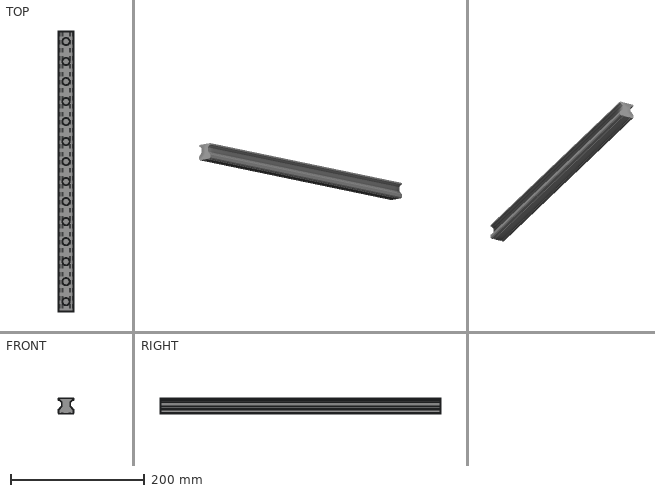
import cadquery as cq

length = 420.0
width = 23.0
height = 23.5
half_width = width / 2
top = height / 2
bottom = -height / 2

top_bevel = 0.65
head_side_bottom = 9.2
head_break_half_width = 9.2
head_break_height = 8.5

waist_half_width = 6.7
waist_top = 6.0
waist_bottom = -0.65

foot_step_half_width = 9.2
foot_step_rise = 0.5
foot_step_top = waist_bottom - (foot_step_half_width - waist_half_width)
foot_step_bottom = foot_step_top - foot_step_rise
foot_side_top = foot_step_bottom - (half_width - foot_step_half_width)
bottom_bevel = 1.45

groove_offset = 6.0
groove_width = 1.5
groove_depth = 1.0

recess_count = 14
recess_pitch = length / recess_count
recess_diameter = 11.0
recess_depth = 0.5


def rail_body():
    """Extrude the symmetric cross-section along the whole length."""
    right_side = [
        (half_width - top_bevel, top),
        (half_width, top - top_bevel),
        (half_width, head_side_bottom),
        (head_break_half_width, head_break_height),
        (waist_half_width, waist_top),
        (waist_half_width, waist_bottom),
        (foot_step_half_width, foot_step_top),
        (foot_step_half_width, foot_step_bottom),
        (half_width, foot_side_top),
        (half_width, bottom + bottom_bevel),
        (half_width - bottom_bevel, bottom),
    ]
    left_side = [(-x, z) for x, z in reversed(right_side)]
    section = cq.Workplane("XZ").polyline(right_side + left_side).close()
    return section.extrude(length / 2, both=True)


def underside_grooves():
    """Pair of full-length rectangular grooves cut up into the foot."""
    return (
        cq.Workplane("XY", origin=(0, 0, bottom))
        .pushPoints([(-groove_offset, 0), (groove_offset, 0)])
        .rect(groove_width, length)
        .extrude(groove_depth)
    )


def cap_recesses():
    """Evenly pitched row of round recesses, half a pitch in from each end."""
    return (
        cq.Workplane("XY", origin=(0, 0, top))
        .rarray(4, recess_pitch, 1, recess_count)
        .circle(recess_diameter / 2)
        .extrude(-recess_depth)
    )


result = rail_body().cut(underside_grooves()).cut(cap_recesses())